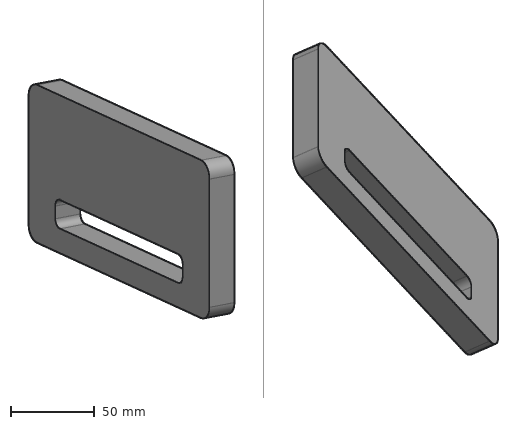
import cadquery as cq

length = 199.0
thickness = 18.0
height = 99.0
corner_radius = 9.4

slot_length = 139.9
slot_height = 18.0
slot_radius = 5.0
slot_bottom_margin = 15.5


def rounded_block(size_x, size_z, radius):
    """Block centred on the origin with its four Y-direction edges rounded."""
    return cq.Workplane("XY").box(size_x, thickness, size_z).edges("|Y").fillet(radius)


plate = rounded_block(length, height, corner_radius)

slot_center_z = -height / 2 + slot_bottom_margin + slot_height / 2
slot = rounded_block(slot_length, slot_height, slot_radius).translate((0, 0, slot_center_z))

result = plate.cut(slot)